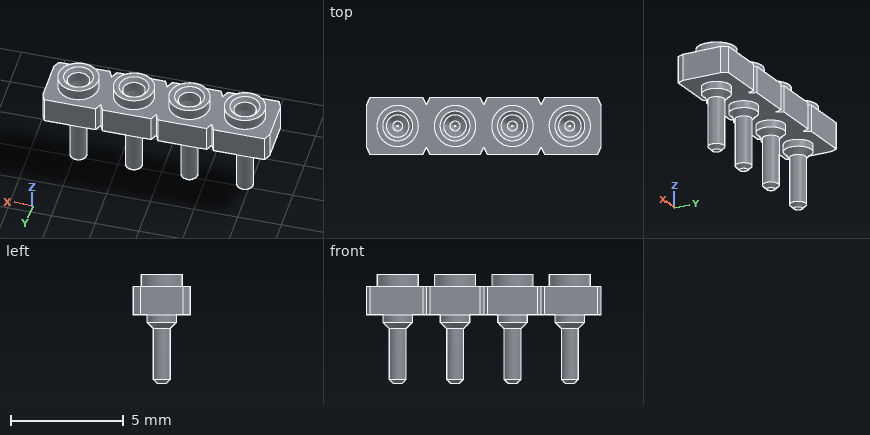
import cadquery as cq

PIN_COUNT = 4
END_MARGIN = 1.38
HOUSING_LENGTH = 10.39
HOUSING_WIDTH = 2.54
HOUSING_HEIGHT = 1.26
PITCH = (HOUSING_LENGTH - 2 * END_MARGIN) / (PIN_COUNT - 1)
NOTCH_HALF_WIDTH = 0.16
NOTCH_DEPTH = 0.32

HEAD_DIAMETER = 1.83
HEAD_HEIGHT = 0.53
COLLAR_DIAMETER = 1.32
COLLAR_DROP = 0.33
COLLAR_TAPER = 0.28
TAIL_DIAMETER = 0.76
TIP_CHAMFER = 0.19
OVERALL_HEIGHT = 4.83

MOUTH_DIAMETER = 1.32
BORE_DIAMETER = 1.0
MOUTH_DEPTH = 0.2
BORE_DEPTH = 0.7
THROAT_DIAMETER = 0.44
THROAT_TAPER = 1.04
POINT_DEPTH = 0.1
FLOOR_DIAMETER = 0.06

PIN_POSITIONS = [(i - (PIN_COUNT - 1) / 2) * PITCH for i in range(PIN_COUNT)]
NOTCH_POSITIONS = [(i - PIN_COUNT / 2) * PITCH for i in range(1, PIN_COUNT)]


def make_notches():
    """V-shaped prisms for both long sides between the pins, and at the four corners."""
    half_length = HOUSING_LENGTH / 2
    half_width = HOUSING_WIDTH / 2
    notches = cq.Workplane("XY")
    for x in [-half_length, *NOTCH_POSITIONS, half_length]:
        for side in (-1, 1):
            notches = (
                notches
                .moveTo(x - NOTCH_HALF_WIDTH, side * half_width)
                .lineTo(x + NOTCH_HALF_WIDTH, side * half_width)
                .lineTo(x, side * (half_width - NOTCH_DEPTH))
                .close()
            )
    return notches.extrude(-HOUSING_HEIGHT)


def make_housing():
    """Notched strip with one through hole for each pin."""
    strip = cq.Workplane("XY").rect(HOUSING_LENGTH, HOUSING_WIDTH).extrude(-HOUSING_HEIGHT)
    pin_holes = (
        cq.Workplane("XY")
        .pushPoints([(x, 0) for x in PIN_POSITIONS])
        .circle(COLLAR_DIAMETER / 2)
        .extrude(-HOUSING_HEIGHT)
    )
    return strip.cut(make_notches()).cut(pin_holes)


def make_pin(x):
    """Turned pin at the given X, with a flared blind socket in its head."""
    collar_bottom = -HOUSING_HEIGHT - COLLAR_DROP
    pin_bottom = HEAD_HEIGHT - OVERALL_HEIGHT
    bore_bottom = HEAD_HEIGHT - BORE_DEPTH
    throat = bore_bottom - THROAT_TAPER
    tail_radius = TAIL_DIAMETER / 2
    half_section = [
        (0, pin_bottom),
        (tail_radius - TIP_CHAMFER, pin_bottom),
        (tail_radius, pin_bottom + TIP_CHAMFER),
        (tail_radius, collar_bottom - COLLAR_TAPER),
        (COLLAR_DIAMETER / 2, collar_bottom),
        (COLLAR_DIAMETER / 2, 0),
        (HEAD_DIAMETER / 2, 0),
        (HEAD_DIAMETER / 2, HEAD_HEIGHT),
        (MOUTH_DIAMETER / 2, HEAD_HEIGHT),
        (BORE_DIAMETER / 2, HEAD_HEIGHT - MOUTH_DEPTH),
        (BORE_DIAMETER / 2, bore_bottom),
        (THROAT_DIAMETER / 2, throat),
        (FLOOR_DIAMETER / 2, throat - POINT_DEPTH),
        (0, throat - POINT_DEPTH),
    ]
    profile = cq.Workplane("XZ").polyline(half_section).close()
    return profile.revolve(360, (0, 0), (0, 1)).translate((x, 0, 0))


housing = make_housing()
pins = [make_pin(x) for x in PIN_POSITIONS]

result = cq.Compound.makeCompound([housing.val(), *[pin.val() for pin in pins]])